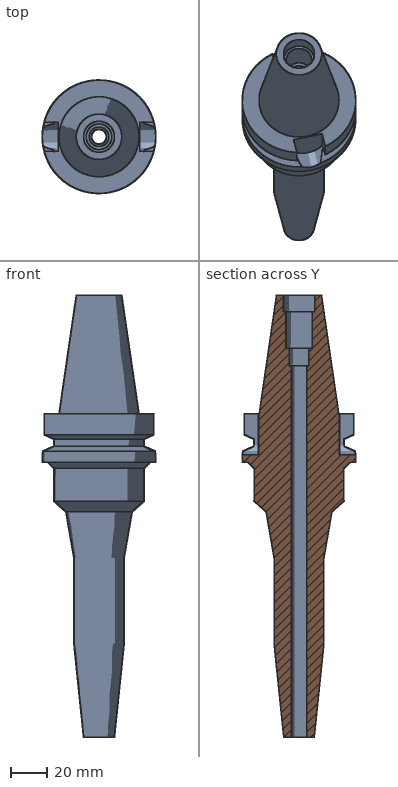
import cadquery as cq

total_height = 245.5

gauge_z = 179.6
taper_gauge_radius = 44.5 / 2
taper_ratio = 7 / 24
taper_length = total_height - gauge_z
taper_top_radius = taper_gauge_radius - taper_length * taper_ratio / 2

flange_radius = 63.0 / 2
flange_bottom_z = 152.6
groove_radius = 26.3
groove_center_z = 163.5
groove_floor_width = 4.0
groove_mouth_width = 9.0
flange_neck_radius = 28.5

collar_radius = 25.0
collar_top_z = 149.2
collar_bottom_z = 131.0
shoulder_height = 6.0
shoulder_radius = 18.5
stem_radius = 14.0
stem_top_z = 99.6
stem_bottom_z = 52.0
nose_radius = 8.5

slot_width = 16.2
slot_floor_x = 22.5
slot_bottom_z = 157.0

bore_steps = [(8.5, 9.0), (7.0, 29.5), (5.5, 39.3)]
through_radius = 8.0 / 2


def make_body():
    """Revolve the outer profile about the Z axis."""
    profile = [
        (0, 0),
        (nose_radius, 0),
        (stem_radius, stem_bottom_z),
        (stem_radius, stem_top_z),
        (shoulder_radius, collar_bottom_z - shoulder_height),
        (collar_radius, collar_bottom_z),
        (collar_radius, collar_top_z),
        (flange_neck_radius, flange_bottom_z),
        (flange_radius, flange_bottom_z),
        (flange_radius, groove_center_z - groove_mouth_width / 2),
        (groove_radius, groove_center_z - groove_floor_width / 2),
        (groove_radius, groove_center_z + groove_floor_width / 2),
        (flange_radius, groove_center_z + groove_mouth_width / 2),
        (flange_radius, gauge_z),
        (taper_gauge_radius, gauge_z),
        (taper_top_radius, total_height),
        (0, total_height),
    ]
    return cq.Workplane("XZ").polyline(profile).close().revolve(360, (0, 0, 0), (0, 1, 0))


def make_drive_slot(side):
    """Round-bottomed slot cutter on the +X (side = 1) or -X (side = -1) flank."""
    half_width = slot_width / 2
    arc_center_z = slot_bottom_z + half_width
    return (
        cq.Workplane("YZ", origin=(side * slot_floor_x, 0, 0))
        .moveTo(-half_width, gauge_z)
        .lineTo(-half_width, arc_center_z)
        .threePointArc((0, slot_bottom_z), (half_width, arc_center_z))
        .lineTo(half_width, gauge_z)
        .close()
        .extrude(side * flange_radius)
    )


def make_bore(radius, depth):
    """Cylinder reaching down from the top face."""
    return cq.Workplane("XY", origin=(0, 0, total_height - depth)).circle(radius).extrude(depth)


result = make_body()
for side in (-1, 1):
    result = result.cut(make_drive_slot(side))
for bore_radius, bore_depth in bore_steps:
    result = result.cut(make_bore(bore_radius, bore_depth))
result = result.cut(make_bore(through_radius, total_height))